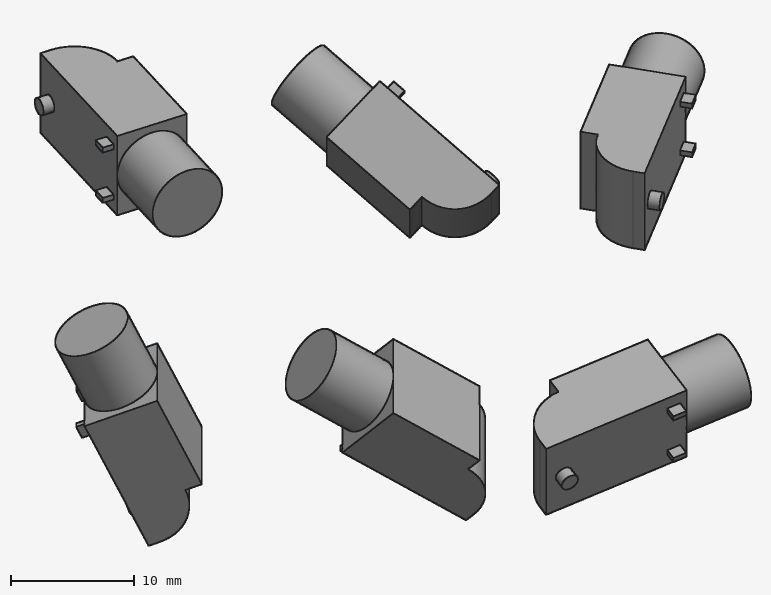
import cadquery as cq

HOUSING_LENGTH = 13.05
HOUSING_DEPTH = 6.4
HOUSING_HEIGHT = 7.9
STEP_DEPTH = 1.45
ROUND_RADIUS = 3.95

BARREL_DIAMETER = HOUSING_DEPTH
BARREL_LENGTH = 6.0

STANDOFF = 1.0
PEG_DIAMETER = 1.5
PEG_X = 1.65
TAB_LENGTH = 1.2
TAB_THICKNESS = 0.5
TAB_X = 11.85
TAB_SPACING = 5.0


def make_housing():
    """Block with a quarter-round rear end, centred on Z = 0."""
    round_top = HOUSING_DEPTH - STEP_DEPTH
    round_start = round_top - ROUND_RADIUS
    return (
        cq.Workplane("XY")
        .moveTo(0, 0)
        .lineTo(HOUSING_LENGTH, 0)
        .lineTo(HOUSING_LENGTH, HOUSING_DEPTH)
        .lineTo(ROUND_RADIUS, HOUSING_DEPTH)
        .lineTo(ROUND_RADIUS, round_top)
        .radiusArc((0, round_start), -ROUND_RADIUS)
        .close()
        .extrude(HOUSING_HEIGHT / 2, both=True)
    )


def make_barrel():
    """Round barrel along +X from the front end of the housing."""
    return (
        cq.Workplane("YZ", origin=(HOUSING_LENGTH, HOUSING_DEPTH / 2, 0))
        .circle(BARREL_DIAMETER / 2)
        .extrude(BARREL_LENGTH)
    )


def make_peg():
    """Locating peg pointing in -Y."""
    return (
        cq.Workplane("XZ", origin=(PEG_X, 0, 0))
        .circle(PEG_DIAMETER / 2)
        .extrude(STANDOFF)
    )


def make_tabs():
    """Pair of flat tabs pointing in -Y, mirrored about Z = 0."""
    return (
        cq.Workplane("XZ", origin=(TAB_X, 0, 0))
        .rarray(1, TAB_SPACING, 1, 2)
        .rect(TAB_LENGTH, TAB_THICKNESS)
        .extrude(STANDOFF)
    )


result = (
    make_housing()
    .union(make_barrel())
    .union(make_peg())
    .union(make_tabs())
)